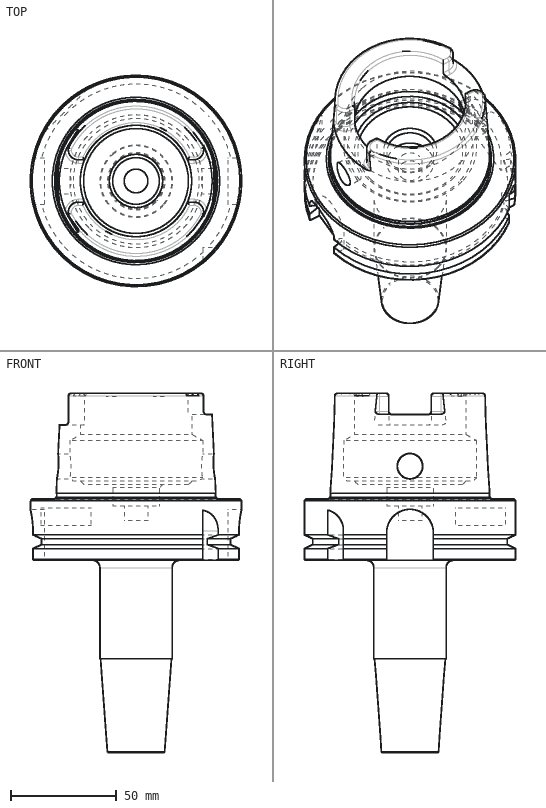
import cadquery as cq
import math

total_length = 170.0
shank_top = 50.0
flange_radius = 50.0
flange_thickness = 29.0
flange_bottom = -flange_thickness
nose_bottom = shank_top - total_length

shank_base_radius = 37.9
rim_radius = 35.5
rim_round = 1.4
relief_bottom = 0.8
relief_top = 2.7
relief_depth = 0.25
face_groove_outer_radius = 39.6
face_groove_bottom_radius = 38.6
face_groove_depth = 0.3

bore_radius = 26.4
bore_depth = 19.4
chamber_radius = 31.5
chamber_depth = 41.5
chamber_floor_chamfer = 1.7
chamber_shoulder_angle = 30
recess_radius = 26.4
recess_chamfer = 1.5
chamber_floor = shank_top - chamber_depth
recess_floor = chamber_floor - recess_chamfer
well_radius = 12.5
well_chamfer = 1.5
well_depth = 10.2
pilot_radius = 5.6
pilot_depth = 6.8

slot_half_width = 10.0
slot_corner_radius = 4.6
slot_corner_x = 32.0
slot_floor_round = 1.5
deep_slot_depth = 15.0
shallow_slot_depth = 10.0

access_radius = 6.0
access_z = 15.5

flange_top_chamfer = 0.8
flange_bottom_chamfer = 0.5
groove_z = -20.2
groove_radius = 46.0
groove_floor_half = 1.4
groove_mouth_half = 3.2
keyway_half_width = 11.0
keyway_floor_x = 43.4
keyway_top = -5.0
notch_offset = 31.5
notch_radius = 10.0
label_flat_distance = 47.1
label_flat_top = -4.0
label_flat_bottom = -12.4
label_flat_angle = 135

neck_radius = 17.2
neck_round = 3.4
nose_taper_top = -75.6
nose_taper_start_radius = 16.8
nose_end_radius = 13.6
nose_chamfer = 0.5

overcut = 17.0


def revolve(points):
    """Solid of revolution about Z from (radius, z) points."""
    return cq.Workplane("XZ").polyline(points).close().revolve(360, (0, 0, 0), (0, 1, 0))


def block(x_range, y_range, z_range):
    """Axis-aligned box given by its limits."""
    (x0, x1), (y0, y1), (z0, z1) = x_range, y_range, z_range
    return cq.Workplane("XY").box(x1 - x0, y1 - y0, z1 - z0, centered=False).translate((x0, y0, z0))


def shank_radius_at(z):
    """Outer radius of the tapered shank at height z."""
    return shank_base_radius + (rim_radius - shank_base_radius) * z / shank_top


def make_shank():
    """Solid tapered shank with its shallow relief, rooted inside the flange."""
    relief_radius = shank_base_radius - relief_depth
    return revolve([
        (0, -flange_thickness / 2),
        (relief_radius, -flange_thickness / 2),
        (relief_radius, relief_top),
        (shank_radius_at(relief_top), relief_top),
        (rim_radius, shank_top),
        (0, shank_top),
    ])


def cut_bore(body):
    """Cut the bore, the wider chamber below it and the shallow recess in the chamber floor."""
    lip_z = shank_top - bore_depth
    shoulder_drop = (chamber_radius - bore_radius) * math.tan(math.radians(chamber_shoulder_angle))
    return body.cut(revolve([
        (0, shank_top + overcut),
        (bore_radius, shank_top + overcut),
        (bore_radius, lip_z),
        (chamber_radius, lip_z - shoulder_drop),
        (chamber_radius, chamber_floor + chamber_floor_chamfer),
        (chamber_radius - chamber_floor_chamfer, chamber_floor),
        (recess_radius, chamber_floor),
        (recess_radius - recess_chamfer, recess_floor),
        (0, recess_floor),
    ]))


def drive_slot(side, depth):
    """Cutter for the slot on one X side; the rim ends beside it have rounded corners."""
    reach = flange_radius
    shoulder_y = slot_half_width + slot_corner_radius
    corner_start_x = slot_corner_x - slot_corner_radius
    arc_offset = slot_corner_radius * math.sqrt(0.5)
    arc_mid = (corner_start_x + arc_offset, shoulder_y - arc_offset)
    outline = (
        cq.Workplane("XY")
        .moveTo(0, -slot_half_width)
        .lineTo(corner_start_x, -slot_half_width)
        .threePointArc((arc_mid[0], -arc_mid[1]), (slot_corner_x, -shoulder_y))
        .lineTo(slot_corner_x, -reach)
        .lineTo(reach, -reach)
        .lineTo(reach, reach)
        .lineTo(slot_corner_x, reach)
        .lineTo(slot_corner_x, shoulder_y)
        .threePointArc(arc_mid, (corner_start_x, slot_half_width))
        .lineTo(0, slot_half_width)
        .close()
    )
    cutter = outline.extrude(depth + overcut).faces("<Z").edges().fillet(slot_floor_round)
    cutter = cutter.translate((0, 0, shank_top - depth))
    if side < 0:
        cutter = cutter.rotate((0, 0, 0), (0, 0, 1), 180)
    return cutter


def make_flange():
    """Flange disc with its V-shaped rim groove and the face groove around the shank."""
    groove_top = groove_z + groove_mouth_half
    groove_bottom = groove_z - groove_mouth_half
    return revolve([
        (0, flange_bottom),
        (flange_radius - flange_bottom_chamfer, flange_bottom),
        (flange_radius, flange_bottom + flange_bottom_chamfer),
        (flange_radius, groove_bottom),
        (groove_radius, groove_z - groove_floor_half),
        (groove_radius, groove_z + groove_floor_half),
        (flange_radius, groove_top),
        (flange_radius, -flange_top_chamfer),
        (flange_radius - flange_top_chamfer, 0),
        (face_groove_outer_radius, 0),
        (face_groove_bottom_radius, -face_groove_depth),
        (shank_base_radius, relief_bottom),
        (0, relief_bottom),
    ])


def keyway():
    """Round-topped keyway cutter on the +X side, open downward."""
    centre_z = keyway_top - keyway_half_width
    arch = (
        cq.Workplane("YZ").workplane(offset=keyway_floor_x)
        .center(0, centre_z).circle(keyway_half_width).extrude(overcut)
    )
    channel = block(
        (keyway_floor_x, keyway_floor_x + overcut),
        (-keyway_half_width, keyway_half_width),
        (flange_bottom - overcut, centre_z),
    )
    return arch.union(channel)


def corner_notch():
    """Round-topped notch cutter at the +X, -Y corner of the flange, open downward."""
    centre_y = -notch_offset - notch_radius
    centre_z = keyway_top - notch_radius
    arch = (
        cq.Workplane("YZ").workplane(offset=notch_offset)
        .center(centre_y, centre_z).circle(notch_radius).extrude(overcut)
    )
    channel = block(
        (notch_offset, notch_offset + overcut),
        (centre_y - notch_radius, -notch_offset),
        (flange_bottom - overcut, centre_z),
    )
    return arch.union(channel)


def label_flat():
    """Cutter for the flat window facing -X, +Y."""
    cutter = block(
        (label_flat_distance, label_flat_distance + overcut),
        (-flange_radius, flange_radius),
        (label_flat_bottom, label_flat_top),
    )
    return cutter.rotate((0, 0, 0), (0, 0, 1), label_flat_angle)


def make_nose():
    """Cylindrical neck and tapered nose below the flange."""
    round_drop = neck_round * (1 - math.sqrt(0.5))
    return (
        cq.Workplane("XZ")
        .moveTo(0, flange_bottom)
        .lineTo(neck_radius + neck_round, flange_bottom)
        .threePointArc(
            (neck_radius + round_drop, flange_bottom - round_drop),
            (neck_radius, flange_bottom - neck_round),
        )
        .lineTo(neck_radius, nose_taper_top)
        .lineTo(nose_taper_start_radius, nose_taper_top)
        .lineTo(nose_end_radius, nose_bottom + nose_chamfer)
        .lineTo(nose_end_radius - nose_chamfer, nose_bottom)
        .lineTo(0, nose_bottom)
        .close()
        .revolve(360, (0, 0, 0), (0, 1, 0))
    )


def well():
    """Cutter for the chamfered well and its pilot hole in the chamber floor."""
    inner_radius = well_radius - well_chamfer
    well_bottom = recess_floor - well_depth
    return revolve([
        (0, recess_floor),
        (well_radius, recess_floor),
        (inner_radius, recess_floor - well_chamfer),
        (inner_radius, well_bottom),
        (pilot_radius, well_bottom),
        (pilot_radius, well_bottom - pilot_depth),
        (0, well_bottom - pilot_depth),
    ])


shank = cut_bore(make_shank())
shank = shank.cut(drive_slot(-1, deep_slot_depth)).cut(drive_slot(1, shallow_slot_depth))
shank = shank.faces(">Z").edges().fillet(rim_round)

flange = make_flange()
for angle in (0, 180):
    flange = flange.cut(keyway().rotate((0, 0, 0), (0, 0, 1), angle))
flange = flange.cut(corner_notch()).cut(label_flat())

access_hole = (
    cq.Workplane("YZ").workplane(offset=-flange_radius)
    .center(0, access_z).circle(access_radius).extrude(2 * flange_radius)
)
result = flange.union(make_nose()).union(shank).cut(well()).cut(access_hole)